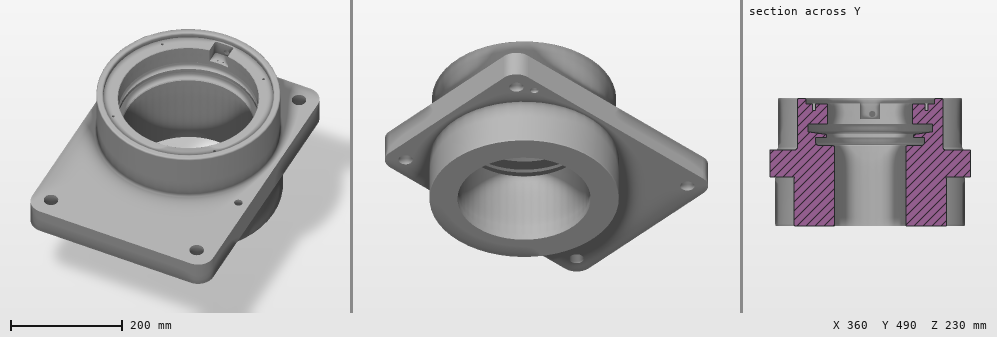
import cadquery as cq
import math

TOTAL_HEIGHT = 230.0

PLATE_WIDTH = 360.0
PLATE_LENGTH = 490.0
PLATE_THICKNESS = 49.0
PLATE_CORNER_RADIUS = 30.0
PLATE_BACK_Y = 190.0
PLATE_FRONT_Y = PLATE_BACK_Y - PLATE_LENGTH

COLLAR_RADIUS = 165.0
COLLAR_HEIGHT = 93.0
COLLAR_BASE_FILLET = 5.0
COLLAR_TOP_FILLET = 3.0
SPIGOT_RADIUS = 170.0
SPIGOT_EDGE_TAPER_HEIGHT = 3.0
SPIGOT_EDGE_TAPER_DEPTH = 0.5
SPIGOT_RELIEF_HEIGHT = 1.5
SPIGOT_RELIEF_DEPTH = 0.5

PLATE_TOP = TOTAL_HEIGHT - COLLAR_HEIGHT
PLATE_BOTTOM = PLATE_TOP - PLATE_THICKNESS

RECESS_RADIUS = 152.5
RECESS_DEPTH = 10.0
RECESS_FILLET = 3.5
LIP_RADIUS = 126.0
LIP_CHAMFER = 1.0
LIP_THICKNESS = 37.0
CHAMBER_RADIUS = 150.0
CHAMBER_FLOOR_SLOPE = 12.0
RIDGE_RADIUS = 127.0
RIDGE_HEIGHT = 6.5
GROOVE_RADIUS = 140.0
GROOVE_HEIGHT = 13.5
GROOVE_FILLET = 5.0
BORE_RADIUS = 119.25
BORE_CHAMFER = 1.5
BORE_SHOULDER_ABOVE_PLATE = 8.2

RECESS_FLOOR = TOTAL_HEIGHT - RECESS_DEPTH
LIP_BOTTOM = RECESS_FLOOR - LIP_THICKNESS
BORE_TOP = PLATE_TOP + BORE_SHOULDER_ABOVE_PLATE
RIDGE_BOTTOM = BORE_TOP + GROOVE_HEIGHT
RIDGE_TOP = RIDGE_BOTTOM + RIDGE_HEIGHT
CHAMBER_FLOOR_RISE = (CHAMBER_RADIUS - RIDGE_RADIUS) * math.tan(math.radians(CHAMBER_FLOOR_SLOPE))

BOLT_HOLE_DIAMETER = 26.0
BOLT_EDGE_MARGIN = 35.0
DOWEL_HOLE_DIAMETER = 15.0
DOWEL_X = 160.0
DOWEL_Y = 125.0

COVER_HOLE_DIAMETER = 5.0
COVER_HOLE_DEPTH = 12.0
COVER_HOLE_CIRCLE_RADIUS = 142.5
COVER_HOLE_COUNT = 4
COVER_HOLE_START_ANGLE = 45.0

NOTCH_WIDTH = 36.5
NOTCH_BACK_Y = 149.0
NOTCH_DEPTH = 28.0
NOTCH_CORNER_RADIUS = 3.0
NOTCH_FLOOR = RECESS_FLOOR - NOTCH_DEPTH
NOTCH_PIN_DIAMETER = 3.0
NOTCH_PIN_DEPTH = 6.0
NOTCH_PIN_SPACING = 10.4
NOTCH_PIN_Y = 132.0
NOTCH_PORT_DIAMETER = 11.0
NOTCH_PORT_X = 4.0
NOTCH_PORT_HEIGHT = 9.0
NOTCH_PORT_DEPTH = 12.0

SIDE_HOLE_DIAMETER = 7.5
SIDE_HOLE_CHAMFER = 1.0
SIDE_HOLE_DEPTH = 35.0
SIDE_HOLE_ANGLE = 15.0
SIDE_HOLE_BELOW_PLATE = 25.0


def make_plate():
    """Rectangular plate with rounded corners, offset from the ring axis."""
    return (
        cq.Workplane("XY", origin=(0, (PLATE_BACK_Y + PLATE_FRONT_Y) / 2, PLATE_BOTTOM))
        .rect(PLATE_WIDTH, PLATE_LENGTH)
        .extrude(PLATE_THICKNESS)
        .edges("|Z")
        .fillet(PLATE_CORNER_RADIUS)
    )


def arc_middle(center_r, center_z, radius, degrees):
    """Point on a profile arc, at an angle measured from the outward radial direction."""
    angle = math.radians(degrees)
    return (center_r + radius * math.cos(angle), center_z + radius * math.sin(angle))


def revolve_profile(profile):
    """Full turn about Z of a profile drawn as (radius, height)."""
    return profile.close().revolve(360, (0, 0, 0), (0, 1, 0))


def make_ring_body():
    """Solid of revolution bounded by the outer surfaces of the ring."""
    relief_radius = SPIGOT_RADIUS - SPIGOT_RELIEF_DEPTH
    relief_bottom = PLATE_BOTTOM - SPIGOT_RELIEF_HEIGHT
    base_r = COLLAR_RADIUS + COLLAR_BASE_FILLET
    base_z = PLATE_TOP + COLLAR_BASE_FILLET
    top_r = COLLAR_RADIUS - COLLAR_TOP_FILLET
    top_z = TOTAL_HEIGHT - COLLAR_TOP_FILLET
    return revolve_profile(
        cq.Workplane("XZ")
        .moveTo(0, 0)
        .lineTo(SPIGOT_RADIUS - SPIGOT_EDGE_TAPER_DEPTH, 0)
        .lineTo(SPIGOT_RADIUS, SPIGOT_EDGE_TAPER_HEIGHT)
        .lineTo(SPIGOT_RADIUS, relief_bottom)
        .lineTo(relief_radius, relief_bottom)
        .lineTo(relief_radius, PLATE_TOP)
        .lineTo(base_r, PLATE_TOP)
        .threePointArc(arc_middle(base_r, base_z, COLLAR_BASE_FILLET, 225), (COLLAR_RADIUS, base_z))
        .lineTo(COLLAR_RADIUS, top_z)
        .threePointArc(arc_middle(top_r, top_z, COLLAR_TOP_FILLET, 45), (top_r, TOTAL_HEIGHT))
        .lineTo(0, TOTAL_HEIGHT)
    )


def make_ring_cavity():
    """Solid of revolution that clears the bore, groove, chamber and recess."""
    groove_r = GROOVE_RADIUS - GROOVE_FILLET
    groove_z = BORE_TOP + GROOVE_FILLET
    rim_r = RECESS_RADIUS + RECESS_FILLET
    rim_z = TOTAL_HEIGHT - RECESS_FILLET
    return revolve_profile(
        cq.Workplane("XZ")
        .moveTo(0, 0)
        .lineTo(BORE_RADIUS, 0)
        .lineTo(BORE_RADIUS, BORE_TOP - BORE_CHAMFER)
        .lineTo(BORE_RADIUS + BORE_CHAMFER, BORE_TOP)
        .lineTo(groove_r, BORE_TOP)
        .threePointArc(arc_middle(groove_r, groove_z, GROOVE_FILLET, -45), (GROOVE_RADIUS, groove_z))
        .lineTo(GROOVE_RADIUS, RIDGE_BOTTOM)
        .lineTo(RIDGE_RADIUS, RIDGE_BOTTOM)
        .lineTo(RIDGE_RADIUS, RIDGE_TOP)
        .lineTo(CHAMBER_RADIUS, RIDGE_TOP + CHAMBER_FLOOR_RISE)
        .lineTo(CHAMBER_RADIUS, LIP_BOTTOM)
        .lineTo(LIP_RADIUS, LIP_BOTTOM)
        .lineTo(LIP_RADIUS, RECESS_FLOOR - LIP_CHAMFER)
        .lineTo(LIP_RADIUS + LIP_CHAMFER, RECESS_FLOOR)
        .lineTo(RECESS_RADIUS, RECESS_FLOOR)
        .lineTo(RECESS_RADIUS, rim_z)
        .threePointArc(arc_middle(rim_r, rim_z, RECESS_FILLET, 135), (rim_r, TOTAL_HEIGHT))
        .lineTo(0, TOTAL_HEIGHT)
    )


def make_plate_holes():
    """Four bolt holes near the corners and two dowel holes, all through the plate."""
    bolt_x = PLATE_WIDTH / 2 - BOLT_EDGE_MARGIN
    bolt_rows = (PLATE_BACK_Y - BOLT_EDGE_MARGIN, PLATE_FRONT_Y + BOLT_EDGE_MARGIN)
    bolt_points = [(x, y) for x in (-bolt_x, bolt_x) for y in bolt_rows]
    dowel_points = [(-DOWEL_X, DOWEL_Y), (DOWEL_X, -DOWEL_Y)]
    base = cq.Workplane("XY", origin=(0, 0, PLATE_BOTTOM))
    bolts = base.pushPoints(bolt_points).circle(BOLT_HOLE_DIAMETER / 2).extrude(PLATE_THICKNESS)
    dowels = base.pushPoints(dowel_points).circle(DOWEL_HOLE_DIAMETER / 2).extrude(PLATE_THICKNESS)
    return bolts.union(dowels)


def make_cover_holes():
    """Blind holes spaced evenly around the recess floor."""
    return (
        cq.Workplane("XY", origin=(0, 0, RECESS_FLOOR))
        .polarArray(COVER_HOLE_CIRCLE_RADIUS, COVER_HOLE_START_ANGLE, 360, COVER_HOLE_COUNT)
        .circle(COVER_HOLE_DIAMETER / 2)
        .extrude(-COVER_HOLE_DEPTH)
    )


def make_notch():
    """Pocket through the inner edge of the lip, with two pin holes and a port in its back wall."""
    pocket = (
        cq.Workplane("XY", origin=(0, NOTCH_BACK_Y / 2, NOTCH_FLOOR))
        .rect(NOTCH_WIDTH, NOTCH_BACK_Y)
        .extrude(NOTCH_DEPTH)
        .edges("|Z and >Y")
        .fillet(NOTCH_CORNER_RADIUS)
    )
    pins = (
        cq.Workplane("XY", origin=(0, NOTCH_PIN_Y, NOTCH_FLOOR))
        .pushPoints([(-NOTCH_PIN_SPACING / 2, 0), (NOTCH_PIN_SPACING / 2, 0)])
        .circle(NOTCH_PIN_DIAMETER / 2)
        .extrude(-NOTCH_PIN_DEPTH)
    )
    port = (
        cq.Workplane("XZ", origin=(NOTCH_PORT_X, NOTCH_BACK_Y, NOTCH_FLOOR + NOTCH_PORT_HEIGHT))
        .circle(NOTCH_PORT_DIAMETER / 2)
        .extrude(-NOTCH_PORT_DEPTH)
    )
    return pocket.union(pins).union(port)


def make_side_hole():
    """Blind hole drilled radially into the spigot, chamfered at its mouth."""
    radius = SIDE_HOLE_DIAMETER / 2
    hole = (
        cq.Workplane("XY", origin=(0, -SPIGOT_RADIUS, PLATE_BOTTOM - SIDE_HOLE_BELOW_PLATE))
        .lineTo(radius + SIDE_HOLE_CHAMFER, 0)
        .lineTo(radius, SIDE_HOLE_CHAMFER)
        .lineTo(radius, SIDE_HOLE_DEPTH)
        .lineTo(0, SIDE_HOLE_DEPTH)
        .close()
        .revolve(360, (0, 0, 0), (0, 1, 0))
    )
    return hole.rotate((0, 0, 0), (0, 0, 1), -SIDE_HOLE_ANGLE)


result = (
    make_plate()
    .union(make_ring_body())
    .cut(make_ring_cavity())
    .cut(make_plate_holes())
    .cut(make_cover_holes())
    .cut(make_notch())
    .cut(make_side_hole())
)